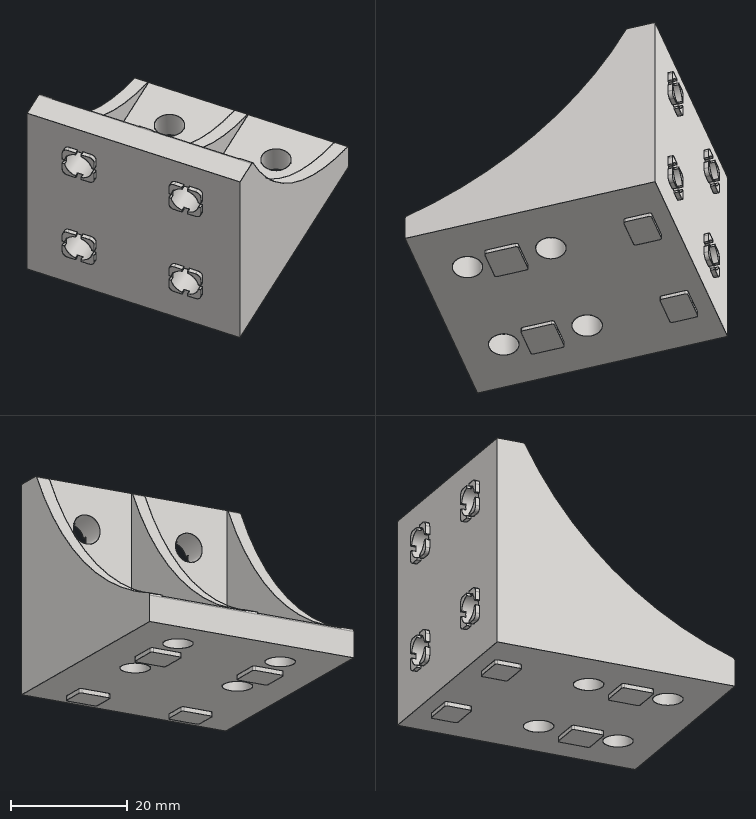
import cadquery as cq

width = 40.0
depth = 45.0
height = 38.0
plate_thickness = 5.0

rib_end_height = 5.2
rib_arc_radius = 67.0
rib_tip_radius = 0.6

outer_rib = 2.5
middle_rib = 2.4
pocket_width = (width - 2 * outer_rib - middle_rib) / 2
pocket_offset = (middle_rib + pocket_width) / 2

hole_diameter = 5.2
column_offset = 10.0
wall_hole_heights = (10.0, 30.0)
base_hole_positions = (22.0, 37.0)

pad_height = 0.8
pad_size = 6.0
wall_pad_corner_radius = 1.0
pad_slot_width = 1.0
base_pad_corner_radius = 0.4
front_pad_start = 3.0
front_pad_length = 5.0
rear_pad_start = 27.0
rear_pad_length = pad_size

columns = (-column_offset, column_offset)


def make_body():
    """Side profile with a concave edge, extruded over the full width."""
    profile = (
        cq.Workplane("YZ")
        .moveTo(0, 0)
        .lineTo(depth, 0)
        .lineTo(depth, rib_end_height)
        .radiusArc((rib_end_height, height), rib_arc_radius)
        .lineTo(0, height)
        .close()
    )
    body = profile.extrude(width / 2, both=True)
    for tip_y, tip_z in ((depth, rib_end_height), (rib_end_height, height)):
        tip_edge = cq.selectors.NearestToPointSelector((0, tip_y, tip_z))
        body = body.edges("|X").edges(tip_edge).fillet(rib_tip_radius)
    return body


def make_pocket(center_x):
    """Open space between two ribs, above the base and behind the wall."""
    return cq.Workplane("XY").box(
        pocket_width, depth, height, centered=(True, False, False)
    ).translate((center_x, plate_thickness, plate_thickness))


def make_wall_pad(x, z):
    """Square pad on the wall, split into four corners by crossed slots."""
    pad = (
        cq.Workplane("XY")
        .box(pad_size, pad_height, pad_size, centered=(True, False, True))
        .edges("|Y")
        .fillet(wall_pad_corner_radius)
    )
    for slot_x, slot_z in ((pad_size, pad_slot_width), (pad_slot_width, pad_size)):
        slot = cq.Workplane("XY").box(slot_x, pad_height, slot_z, centered=(True, False, True))
        pad = pad.cut(slot)
    return pad.translate((x, -pad_height, z))


def make_base_pad(x, start_y, length):
    """Plain pad under the base."""
    return (
        cq.Workplane("XY")
        .box(pad_size, length, pad_height, centered=(True, False, False))
        .edges("|Z")
        .fillet(base_pad_corner_radius)
        .translate((x, start_y, -pad_height))
    )


def make_wall_hole(x, z):
    """Cylinder through the wall and its pad."""
    start = cq.Vector(x, -pad_height, z)
    length = plate_thickness + pad_height
    return cq.Solid.makeCylinder(hole_diameter / 2, length, start, cq.Vector(0, 1, 0))


def make_base_hole(x, y):
    """Cylinder through the base."""
    return cq.Solid.makeCylinder(hole_diameter / 2, plate_thickness, cq.Vector(x, y, 0))


result = make_body()

for pocket_x in (-pocket_offset, pocket_offset):
    result = result.cut(make_pocket(pocket_x))

for column_x in columns:
    result = result.union(make_base_pad(column_x, front_pad_start, front_pad_length))
    result = result.union(make_base_pad(column_x, rear_pad_start, rear_pad_length))
    for hole_z in wall_hole_heights:
        result = result.union(make_wall_pad(column_x, hole_z))
        result = result.cut(make_wall_hole(column_x, hole_z))
    for hole_y in base_hole_positions:
        result = result.cut(make_base_hole(column_x, hole_y))